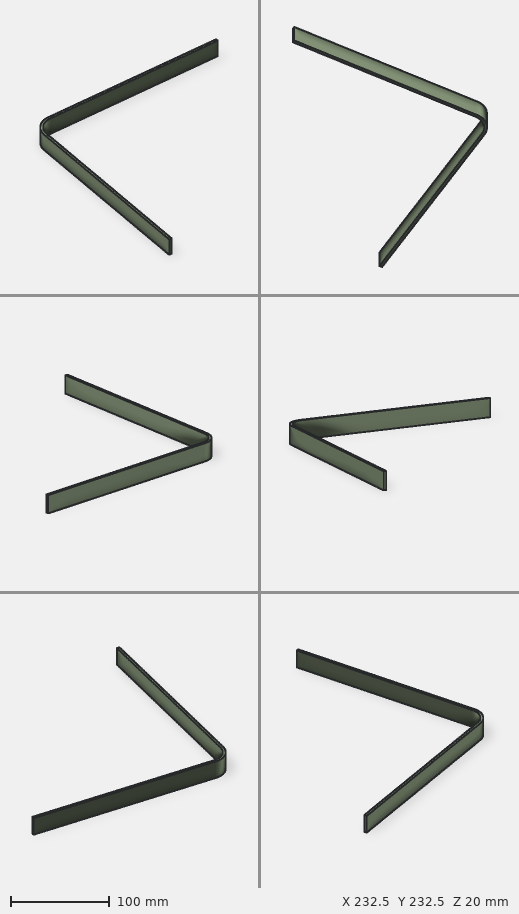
import cadquery as cq

leg_length = 232.5
strip_height = 20.0
thickness = 3.0
bend_radius = 20.0

half_length = leg_length / 2


def rounded_block(size, corner_radius):
    """Square block reaching the +X, +Y ends, with its -X, -Y corner rounded."""
    block = cq.Workplane("XY").box(size, size, strip_height, centered=(True, True, False))
    offset = half_length - size / 2
    return block.edges("|Z").edges("<X").edges("<Y").fillet(corner_radius).translate((offset, offset, 0))


outer_block = rounded_block(leg_length, bend_radius)
inner_block = rounded_block(leg_length - thickness, bend_radius - thickness)
result = outer_block.cut(inner_block)